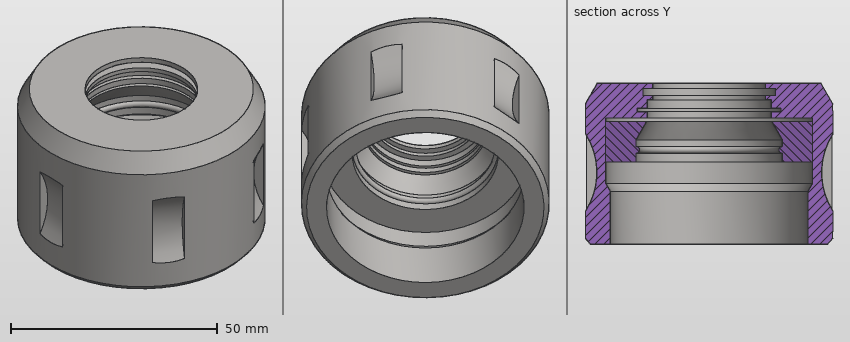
import cadquery as cq
import math

outer_radius = 30.0
height = 39.0
top_chamfer_height = 5.0
top_chamfer_width = top_chamfer_height * math.tan(math.radians(30))
bottom_chamfer_height = 1.45
bottom_chamfer_width = 1.25

slot_count = 6
slot_width = 7.9
slot_disc_radius = 17.4
slot_disc_axis_radius = 44.65
slot_z = 17.4

bore_radius = 13.6
bore_depth = 4.0
step_radius = 15.0
groove_extension = 2.4
upper_groove_depths = (1.3, 2.95)
lower_groove_depths = (6.05, 6.9)

seat_radius = 25.0
seat_top_depth = 8.45
seat_end_depth = 24.25
shoulder_drop = 1.9
end_bore_radius = seat_radius - shoulder_drop * math.tan(math.radians(30))

ring_gap = 0.8
ring_top_depth = seat_top_depth + ring_gap
ring_bottom_depth = 19.1
ring_bore_radius = 17.7
ring_mouth_radius = 15.1
ring_cone_height = (ring_bore_radius - ring_mouth_radius) / math.tan(math.radians(30))
rib_top_depth = 15.3
rib_radius = 0.85


def disc(radius, top_depth, bottom_depth):
    """Coaxial cylinder between two depths below the top face."""
    return (
        cq.Workplane("XY")
        .workplane(offset=height - bottom_depth)
        .circle(radius)
        .extrude(bottom_depth - top_depth)
    )


def make_exterior():
    return (
        cq.Workplane("XZ")
        .moveTo(0, 0)
        .lineTo(outer_radius - bottom_chamfer_width, 0)
        .lineTo(outer_radius, bottom_chamfer_height)
        .lineTo(outer_radius, height - top_chamfer_height)
        .lineTo(outer_radius - top_chamfer_width, height)
        .lineTo(0, height)
        .close()
        .revolve(360, (0, 0), (0, 1))
    )


def make_cavity():
    """Seat, conical shoulder and open lower bore."""
    seat_end_z = height - seat_end_depth
    return (
        cq.Workplane("XZ")
        .moveTo(0, 0)
        .lineTo(end_bore_radius, 0)
        .lineTo(end_bore_radius, seat_end_z - shoulder_drop)
        .lineTo(seat_radius, seat_end_z)
        .lineTo(seat_radius, height - seat_top_depth)
        .lineTo(0, height - seat_top_depth)
        .close()
        .revolve(360, (0, 0), (0, 1))
    )


def make_slot_cutter(angle):
    return (
        cq.Workplane("XZ", origin=(0, slot_width / 2, 0))
        .center(slot_disc_axis_radius, slot_z)
        .circle(slot_disc_radius)
        .extrude(slot_width)
        .rotate((0, 0, 0), (0, 0, 1), angle)
    )


def make_housing():
    body = make_exterior().cut(make_cavity())
    body = body.cut(disc(bore_radius, 0, bore_depth))
    body = body.cut(disc(step_radius, bore_depth, seat_top_depth))
    body = body.cut(disc(bore_radius + groove_extension, *upper_groove_depths))
    body = body.cut(disc(step_radius + groove_extension, *lower_groove_depths))
    for index in range(slot_count):
        body = body.cut(make_slot_cutter(index * 360 / slot_count))
    return body


def make_collet_ring():
    """Ring with a downward-flaring cone and a half-round rib in its bore."""
    top_z = height - ring_top_depth
    bottom_z = height - ring_bottom_depth
    rib_top_z = height - rib_top_depth
    return (
        cq.Workplane("XZ")
        .moveTo(seat_radius, bottom_z)
        .lineTo(seat_radius, top_z)
        .lineTo(ring_mouth_radius, top_z)
        .lineTo(ring_bore_radius, top_z - ring_cone_height)
        .lineTo(ring_bore_radius, rib_top_z)
        .threePointArc(
            (ring_bore_radius - rib_radius, rib_top_z - rib_radius),
            (ring_bore_radius, rib_top_z - 2 * rib_radius),
        )
        .lineTo(ring_bore_radius, bottom_z)
        .close()
        .revolve(360, (0, 0), (0, 1))
    )


housing = make_housing()
collet_ring = make_collet_ring()
result = cq.Compound.makeCompound([housing.val(), collet_ring.val()])